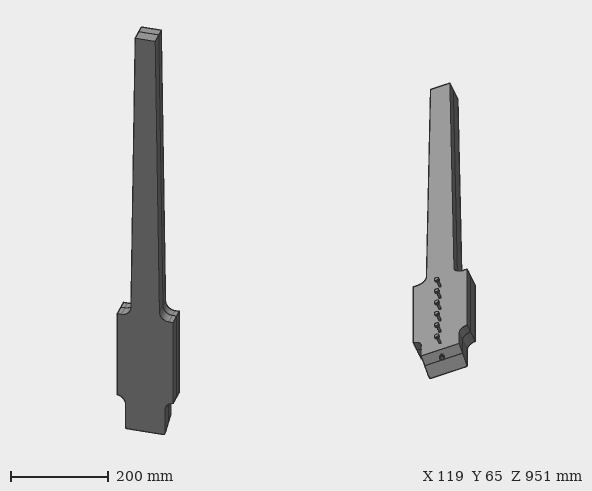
import cadquery as cq
import math

TOTAL_LENGTH = 951.0

FRONT_THICKNESS = 26.0
BACK_THICKNESS = 19.0
TOTAL_THICKNESS = FRONT_THICKNESS + BACK_THICKNESS

NECK_TOP_WIDTH = 43.0
NECK_BASE_WIDTH = 61.0
BODY_WIDTH = 119.0
TAIL_WIDTH = 84.0
SHOULDER_Z = 276.0
BODY_BOTTOM_Z = 79.0
COVE_RADIUS = 20.0
TAIL_CORNER_RADIUS = 4.0

TAIL_SLOPE_RISE = 23.0

PEG_DIAMETER = 5.0
PEG_HEAD_DIAMETER = 9.5
PEG_HEAD_THICKNESS = 5.0
PEG_PROJECTION = 20.0
PEG_EMBEDMENT = 9.5
PEG_COUNT = 6
PEG_PITCH = 40.0
LOWEST_PEG_Z = 47.0
END_PEG_TIP_Z = 7.0
END_PEG_Y = 34.0
END_PEG_LENGTH = 20.0


def half_silhouette():
    """Right-hand half of the outline in the XZ plane, closed along X = 0."""
    neck_top_x = NECK_TOP_WIDTH / 2
    neck_base_x = NECK_BASE_WIDTH / 2
    body_x = BODY_WIDTH / 2
    tail_x = TAIL_WIDTH / 2
    diagonal = COVE_RADIUS * math.sqrt(0.5)

    upper_center_x = neck_base_x + COVE_RADIUS
    upper_center_z = SHOULDER_Z + COVE_RADIUS
    lower_center_x = tail_x + COVE_RADIUS
    lower_center_z = BODY_BOTTOM_Z - math.sqrt(COVE_RADIUS**2 - (lower_center_x - body_x) ** 2)

    return (
        cq.Workplane("XZ")
        .moveTo(0, TOTAL_LENGTH)
        .lineTo(neck_top_x, TOTAL_LENGTH)
        .lineTo(neck_base_x, upper_center_z)
        .threePointArc(
            (upper_center_x - diagonal, upper_center_z - diagonal),
            (upper_center_x, SHOULDER_Z),
        )
        .lineTo(body_x, SHOULDER_Z)
        .lineTo(body_x, BODY_BOTTOM_Z)
        .threePointArc(
            (lower_center_x - diagonal, lower_center_z + diagonal),
            (tail_x, lower_center_z),
        )
        .lineTo(tail_x, TAIL_CORNER_RADIUS)
        .radiusArc((tail_x - TAIL_CORNER_RADIUS, 0), TAIL_CORNER_RADIUS)
        .lineTo(0, 0)
        .close()
    )


def tail_slope_cutter():
    """Wedge below the sloped end face of the tail."""
    return (
        cq.Workplane("YZ")
        .polyline([(0, 0), (TOTAL_THICKNESS, 0), (TOTAL_THICKNESS, TAIL_SLOPE_RISE)])
        .close()
        .extrude(BODY_WIDTH / 2, both=True)
    )


def lamination(y_start, thickness):
    """One half of the neck blank between two planes of constant Y."""
    right_side = half_silhouette().extrude(-thickness).translate((0, y_start, 0))
    slab = right_side.union(right_side.mirror("YZ"))
    return slab.cut(tail_slope_cutter())


def headed_peg(tip, inward, length):
    """Peg with its head face centred at tip, running along inward."""
    plane = cq.Plane(origin=tip, xDir=(1, 0, 0), normal=inward)
    head = cq.Workplane(plane).circle(PEG_HEAD_DIAMETER / 2).extrude(PEG_HEAD_THICKNESS)
    shank = cq.Workplane(plane).circle(PEG_DIAMETER / 2).extrude(length)
    return head.union(shank)


def back_half():
    """Back lamination with its row of pegs and the single peg in the tail end."""
    back = lamination(FRONT_THICKNESS, BACK_THICKNESS)
    for index in range(PEG_COUNT):
        tip = (0, TOTAL_THICKNESS + PEG_PROJECTION, LOWEST_PEG_Z + index * PEG_PITCH)
        back = back.union(headed_peg(tip, (0, -1, 0), PEG_PROJECTION + PEG_EMBEDMENT))
    end_tip = (0, END_PEG_Y, END_PEG_TIP_Z)
    return back.union(headed_peg(end_tip, (0, 0, 1), END_PEG_LENGTH))


front = lamination(0, FRONT_THICKNESS)
back = back_half()

result = cq.Compound.makeCompound([front.val(), back.val()])